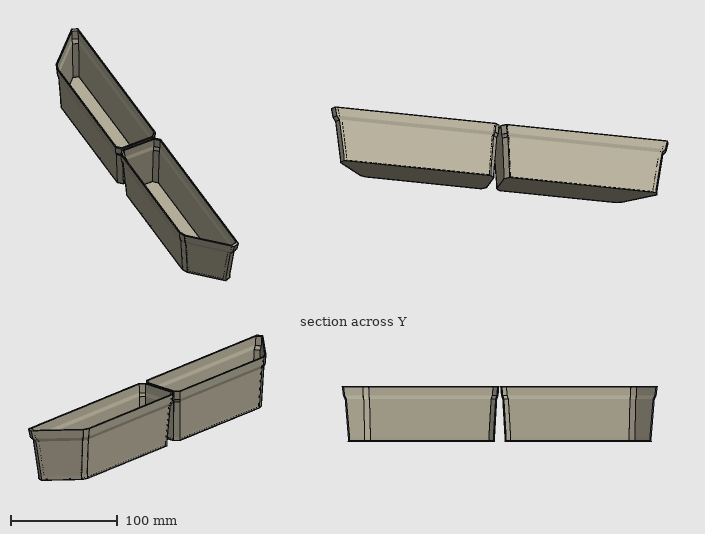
import cadquery as cq
import math

overall_length = 327.0
width = 42.5
height = 51.7
end_gap = 1.8

slant_angle = 45.0
facet_width = 6.0

base_height = 3.5
ledge_bottom = 40.0
ledge_top = 43.2

ledge_top_inset = 0.72
ledge_bottom_inset = 1.9
wall_draft = 2.13
base_inset = ledge_bottom_inset + wall_draft

wall = 1.15
floor_top = wall


def corner_trim(angle):
    """Length a facet takes off each side of a corner with this inside angle."""
    return facet_width / (2 * math.sin(math.radians(angle / 2)))


acute_trim = corner_trim(slant_angle)
tip_setback = acute_trim * math.cos(math.radians(slant_angle))
sharp_tip_x = overall_length / 2 + tip_setback


def outline(inset, z):
    """Closed outline at height z of the right-hand trough, moved in from the rim by inset."""
    slant = math.radians(slant_angle)
    inner_x = end_gap / 2 + inset
    half_width = width / 2 - inset
    back_tip_x = sharp_tip_x - inset / math.sin(slant) - inset / math.tan(slant)
    front_tip_x = back_tip_x - 2 * half_width / math.tan(slant)
    corners = [
        (inner_x, half_width, 90),
        (inner_x, -half_width, 90),
        (front_tip_x, -half_width, 180 - slant_angle),
        (back_tip_x, half_width, slant_angle),
    ]
    points = []
    for index, (x, y, angle) in enumerate(corners):
        before = corners[index - 1]
        after = corners[(index + 1) % len(corners)]
        for end_x, end_y, _ in (before, after):
            share = corner_trim(angle) / math.hypot(end_x - x, end_y - y)
            points.append(cq.Vector(x + share * (end_x - x), y + share * (end_y - y), z))
    return cq.Wire.makePolygon(points, close=True)


def stack(levels):
    """Solid with flat sides through the outlines at the given (height, inset) levels."""
    return cq.Solid.makeLoft([outline(inset, z) for z, inset in levels], True)


def make_trough():
    """Open thin-walled trough with a vertical foot, drafted wall, ledge and flared rim."""
    wall_levels = [
        (base_height, base_inset),
        (ledge_bottom, ledge_bottom_inset),
        (ledge_top, ledge_top_inset),
        (height, 0.0),
    ]
    outside = stack([(0.0, base_inset)] + wall_levels)
    cavity_levels = [(floor_top, base_inset)] + wall_levels
    cavity = stack([(z, inset + wall) for z, inset in cavity_levels])
    return cq.Workplane(outside).cut(cq.Workplane(cavity))


right_trough = make_trough()
left_trough = right_trough.mirror("YZ")

result = cq.Compound.makeCompound([left_trough.val(), right_trough.val()])